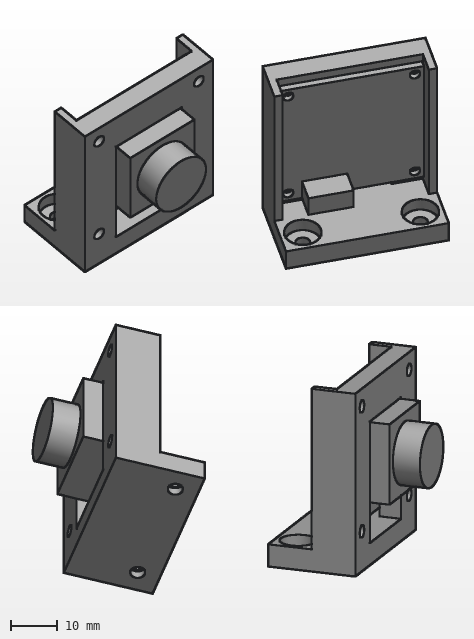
import cadquery as cq

width = 36.0
height = 41.0
base_length = 20.0
base_thickness = 5.0
upright_start = 10.0
side_wall = 1.85
plate_back = 15.1
plate_thickness = base_length - plate_back

mount_hole_diameter = 3.2
mount_bore_diameter = 8.0
mount_bore_depth = 3.0
mount_x = upright_start / 2
mount_half_spacing = 13.0

board_size = 32.0
board_thickness = 1.6
board_bottom = 7.0
board_hole_diameter = 2.2
board_hole_spacing = 28.0
connector_width = 10.0
connector_height = 4.75
connector_depth = 5.55
connector_y = 6.0
holder_size = 18.0
holder_end = 24.4
lens_diameter = 14.0
lens_end = 30.6

holder_clearance = 0.25
plate_hole_diameter = 2.7

camera_z = board_bottom + board_size / 2
board_front = plate_back - board_thickness


def block(x_start, x_end, y_size, z_start, z_end, y_center=0):
    """Box given by its X and Z limits and its width about y_center."""
    return (
        cq.Workplane("XY")
        .box(x_end - x_start, y_size, z_end - z_start, centered=(False, True, False))
        .translate((x_start, y_center, z_start))
    )


def corner_holes(x_start, depth, diameter):
    """Four cylinders along X at the corners of the board's hole pattern."""
    return (
        cq.Workplane("YZ", origin=(x_start, 0, camera_z))
        .rect(board_hole_spacing, board_hole_spacing, forConstruction=True)
        .vertices()
        .circle(diameter / 2)
        .extrude(depth)
    )


def make_housing():
    base = block(0, base_length, width, 0, base_thickness)
    upright = block(upright_start, base_length, width, 0, height)
    body = base.union(upright)

    recess_width = width - 2 * side_wall
    body = body.cut(block(upright_start, plate_back, recess_width, base_thickness, height))

    window_width = holder_size + 2 * holder_clearance
    window_top = camera_z + window_width / 2
    body = body.cut(block(plate_back, base_length, window_width, base_thickness, window_top))

    body = body.cut(corner_holes(plate_back, plate_thickness, plate_hole_diameter))

    return (
        body.copyWorkplane(cq.Workplane("XY", origin=(0, 0, base_thickness)))
        .pushPoints([(mount_x, -mount_half_spacing), (mount_x, mount_half_spacing)])
        .cboreHole(mount_hole_diameter, mount_bore_diameter, mount_bore_depth, base_thickness)
    )


def make_camera():
    board = block(board_front, plate_back, board_size, board_bottom, board_bottom + board_size)
    board = board.cut(corner_holes(board_front, board_thickness, board_hole_diameter))

    connector = block(
        board_front - connector_depth,
        board_front,
        connector_width,
        board_bottom,
        board_bottom + connector_height,
        connector_y,
    )
    holder = block(
        plate_back,
        holder_end,
        holder_size,
        camera_z - holder_size / 2,
        camera_z + holder_size / 2,
    )
    lens = (
        cq.Workplane("YZ", origin=(holder_end, 0, camera_z))
        .circle(lens_diameter / 2)
        .extrude(lens_end - holder_end)
    )
    return board.union(connector).union(holder).union(lens)


housing = make_housing()
camera = make_camera()
result = cq.Compound.makeCompound([housing.val(), camera.val()])